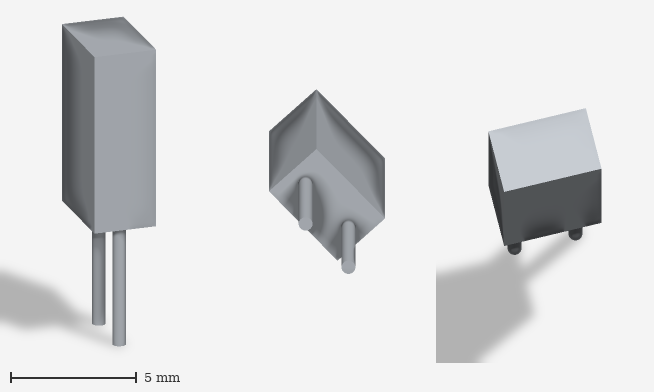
import cadquery as cq

total_height = 12.6
body_width = 4.0
body_depth = 2.6
body_height = 7.5

pin_diameter = 0.55
pin_spacing = 2.5
pin_length = total_height - body_height


def make_body():
    """Plain rectangular block standing on the plane Z = 0."""
    return cq.Workplane("XY").box(body_width, body_depth, body_height, centered=(True, True, False))


def make_pin(x):
    """Round pin hanging down from the underside of the block."""
    return cq.Workplane("XY").center(x, 0).circle(pin_diameter / 2).extrude(-pin_length)


body = make_body()
pins = [make_pin(side * pin_spacing / 2) for side in (-1, 1)]

result = cq.Compound.makeCompound([body.val(), *[pin.val() for pin in pins]])